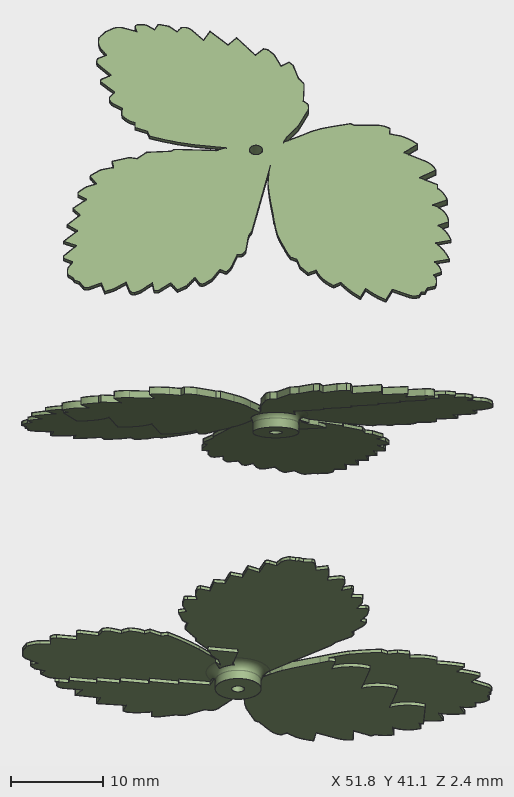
import cadquery as cq
import math


total_height = 2.4
blade_thickness = 0.4
backing_thickness = blade_thickness

stem_diameter = 5.0
hole_diameter = 1.4
flare_radius = 1.0

blade_bottom = -blade_thickness
backing_bottom = blade_bottom - backing_thickness
stem_bottom = -total_height

notch_top = (1.15, 2.95)
notch_right = (2.75, -0.35, 0.05)
notch_left = (-2.4, -2.2)

right_leaf_upper_edge = [
    (1.7, 5.2), (2.85, 8.3, 0.15), (3.95, 10.2),
    (4.4, 10.35), (6.1, 12.3), (7.35, 12.9, 0.1),
    (7.9, 12.35), (8.95, 13.05), (11.1, 13.6, 0.1),
    (11.0, 11.65), (13.55, 12.55), (15.25, 12.5, 0.15),
    (14.9, 10.4), (16.95, 11.2), (17.3, 10.85), (19.35, 10.5, 0.15),
    (18.8, 8.75), (21.9, 8.4, 0.45),
    (21.45, 7.2), (24.05, 6.8, 0.2),
    (23.25, 5.3), (26.05, 4.75, 0.15),
    (25.2, 3.3), (26.85, 2.85, 0.15),
    (26.6, 1.95), (27.1, 1.85), (27.95, 0.95, 0.1),
]
right_leaf_lower_edge = [
    (27.6, 0.15), (27.85, -0.4), (27.6, -0.75), (27.8, -1.25),
    (27.05, -2.0, 0.1), (25.2, -2.8),
    (25.9, -4.35), (23.2, -4.9, 0.1),
    (23.75, -6.15), (20.7, -6.3, 0.1),
    (20.55, -7.15), (17.6, -7.05, 0.25),
    (17.3, -8.0), (16.0, -8.0), (15.0, -7.5),
    (14.25, -7.85), (10.95, -6.7, 0.05), (8.1, -4.8, 0.05), (4.4, -2.25, 0.05),
]
bottom_leaf_right_edge = [
    (8.6, -8.35), (8.9, -9.15), (10.35, -10.85), (10.5, -11.4),
    (10.15, -11.9), (10.8, -13.0), (11.25, -14.45, 0.1),
    (10.55, -14.75), (11.0, -16.3), (10.95, -17.3), (10.55, -17.75, 0.1),
    (9.6, -17.55), (9.9, -19.05), (9.7, -20.15),
    (8.45, -20.0), (8.4, -21.5), (8.05, -22.1, 0.1),
    (7.1, -21.45), (7.1, -23.2), (6.9, -23.9), (6.3, -24.05, 0.1),
    (5.15, -23.55), (5.0, -25.15), (4.6, -26.2),
    (3.4, -25.6), (3.05, -26.85), (2.6, -27.45, 0.1), (1.7, -27.3), (1.2, -27.5),
]
bottom_leaf_left_edge = [
    (0.8, -27.4), (0.15, -27.5), (-0.7, -26.75, 0.1),
    (-1.0, -25.85), (-1.8, -26.15), (-2.3, -26.0, 0.1),
    (-2.5, -23.9), (-3.9, -24.55),
    (-4.05, -22.35), (-5.45, -22.6),
    (-5.6, -20.6), (-6.85, -20.55),
    (-6.85, -18.5), (-7.95, -18.75), (-8.25, -18.25, 0.1), (-8.25, -17.3),
    (-7.85, -16.2), (-8.85, -16.0), (-9.2, -15.75, 0.1), (-9.1, -14.45),
    (-8.4, -13.15), (-9.2, -12.7),
    (-8.35, -10.95), (-7.7, -10.4), (-7.7, -9.0), (-6.0, -6.95), (-6.0, -6.55), (-2.85, -3.25),
]
left_leaf_lower_edge = [
    (-5.2, -4.55), (-9.25, -7.2, 0.1),
    (-9.9, -6.9), (-11.25, -7.5),
    (-11.75, -7.05), (-13.55, -7.35, 0.15), (-14.05, -6.95),
    (-14.25, -6.65), (-15.5, -6.95), (-16.4, -6.65, 0.1),
    (-16.6, -5.65), (-18.6, -5.75), (-19.0, -5.5, 0.1),
    (-18.7, -4.25), (-20.95, -4.25), (-21.5, -3.7, 0.1),
    (-21.25, -2.65), (-22.4, -2.5), (-23.7, -1.6, 0.1), (-23.9, -0.4),
]
left_leaf_upper_edge = [
    (-23.7, 0.6), (-23.0, 1.4, 0.1),
    (-21.7, 2.15), (-22.3, 2.45), (-22.3, 2.95, 0.1), (-21.75, 3.55),
    (-20.6, 3.75), (-20.9, 4.55), (-19.9, 5.25),
    (-18.7, 5.35), (-18.9, 6.05), (-17.95, 6.7, 0.15),
    (-15.85, 6.65), (-16.4, 8.05),
    (-13.6, 8.15), (-13.75, 9.55),
    (-10.5, 9.35), (-10.6, 10.65), (-10.15, 10.9), (-9.15, 10.9),
    (-7.4, 10.3), (-7.25, 11.35), (-6.6, 11.35), (-4.8, 10.55),
    (-3.8, 10.4), (-1.95, 8.65), (-1.25, 8.7), (-0.5, 7.95, 0.1), (0.4, 5.8), (0.85, 3.75),
]
leaf_outline = (
    [notch_top] + right_leaf_upper_edge + right_leaf_lower_edge
    + [notch_right] + bottom_leaf_right_edge + bottom_leaf_left_edge
    + [notch_left] + left_leaf_lower_edge + left_leaf_upper_edge
)

backing_left_limit = -19.2
backing_right_limit = 22.15
backing_clearance = 15.55
backing_right_edge = [
    (backing_right_limit, 8.45),
    (21.35, 3.3), (17.6, 4.1, 0.5),
    (17.6, -0.3), (13.7, 0.2, 0.5),
    (13.7, -4.45), (9.65, -3.7, 0.5),
    (9.65, -5.45), (8.4, -5.45),
]
backing_stem_edge = [
    (8.4, -6.3), (4.6, -2.65), (2.75, -0.45),
    (-1.15, -2.65), (-1.15, -5.45), (-4.4, -5.45), (-2.25, -1.1), (-2.55, 2.7),
]
backing_left_edge = [
    (-5.95, 2.8), (-5.95, 3.2),
    (-9.15, 3.2), (-9.15, 3.75),
    (-12.25, 3.75), (-12.25, 4.2),
    (-14.75, 4.2), (-14.75, 4.65),
    (-17.7, 4.65), (-17.7, 5.25),
    (backing_left_limit, 5.25),
]
backing_area = (
    [(backing_right_limit, backing_clearance)] + backing_right_edge + backing_stem_edge
    + backing_left_edge + [(backing_left_limit, backing_clearance)]
)


def bow_point(start, end, height):
    """Middle of an arc that bulges to the left of the way from start to end."""
    along_x = end[0] - start[0]
    along_y = end[1] - start[1]
    length = math.hypot(along_x, along_y)
    middle_x = (start[0] + end[0]) / 2
    middle_y = (start[1] + end[1]) / 2
    return (middle_x - height * along_y / length, middle_y + height * along_x / length)


def plate(outline, bottom, thickness):
    """Flat plate whose clockwise outline mixes straight and bowed stretches."""
    sketch = cq.Workplane("XY", origin=(0, 0, bottom)).moveTo(*outline[0][:2])
    for start, corner in zip(outline, outline[1:]):
        end = corner[:2]
        if len(corner) == 3:
            sketch = sketch.threePointArc(bow_point(start, end, corner[2]), end)
        else:
            sketch = sketch.lineTo(*end)
    return sketch.close().extrude(thickness)


def flared_stem():
    """Round stem whose top flares out in a quarter arc to the underside of the blade."""
    radius = stem_diameter / 2
    flare_bottom = blade_bottom - flare_radius
    arc_inset = flare_radius * (1 - math.sqrt(0.5))
    return (
        cq.Workplane("XZ")
        .moveTo(0, stem_bottom)
        .lineTo(radius, stem_bottom)
        .lineTo(radius, flare_bottom)
        .threePointArc(
            (radius + arc_inset, blade_bottom - arc_inset),
            (radius + flare_radius, blade_bottom),
        )
        .lineTo(0, blade_bottom)
        .close()
        .revolve(360, (0, 0, 0), (0, 1, 0))
    )


blade = plate(leaf_outline, blade_bottom, blade_thickness)

backing = plate(leaf_outline, backing_bottom, backing_thickness).intersect(
    plate(backing_area, backing_bottom, backing_thickness)
)

stem = flared_stem()

hole = cq.Workplane("XY", origin=(0, 0, stem_bottom)).circle(hole_diameter / 2).extrude(total_height)

result = blade.union(backing).union(stem).cut(hole)